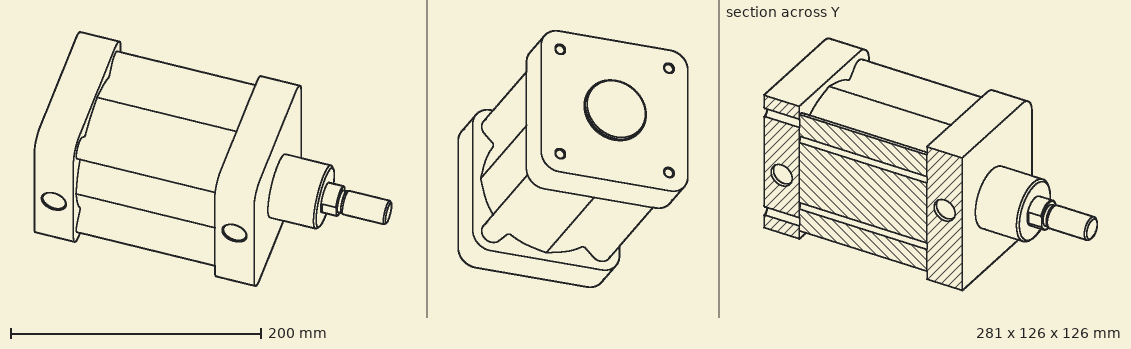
import cadquery as cq
import math

TOTAL_LENGTH = 281.0

CAP_SIDE = 126.0
CAP_THICKNESS = 33.0
CAP_CORNER_RADIUS = 15.2
BARREL_LENGTH = 118.5

BOSS_RADIUS = 26.0
REAR_BOSS_HEIGHT = 3.7
REAR_BOSS_CHAMFER = 1.0
FRONT_BOSS_HEIGHT = 40.0
FRONT_BOSS_CHAMFER = 1.7

PORT_RADIUS = 9.5
PORT_DEPTH = 19.7
PORT_OFFSET = 8.0
PORT_CHAMFER = 0.8

TUBE_OFFSET = 46.6
TIE_HOLE_RADIUS = 3.7
TIE_HOLE_CHAMFER = 0.8

TUBE_RADIUS = 8.7
BARREL_RADIUS = 54.8
RIDGE_HALF_WIDTH = 12.5
WEB_FILLET = 2.8

ROD_RADIUS = 12.5
COLLAR_LENGTH = 1.0
FLAT_LENGTH = 11.8
FLAT_DISTANCE = 11.2
SHOULDER_CHAMFER = 0.5
NECK_RADIUS = 9.0
NECK_LENGTH = 2.8
THREAD_RADIUS = 9.8
THREAD_START_CHAMFER = 1.7
THREAD_END_CHAMFER = 1.5

REAR_CAP_X = REAR_BOSS_HEIGHT
BARREL_X = REAR_CAP_X + CAP_THICKNESS
FRONT_CAP_X = BARREL_X + BARREL_LENGTH
FRONT_BOSS_X = FRONT_CAP_X + CAP_THICKNESS
ROD_X = FRONT_BOSS_X + FRONT_BOSS_HEIGHT


def cross_section(x):
    """Workplane across the axis at station x, local axes Y and Z."""
    return cq.Workplane("YZ", origin=(x, 0, 0))


def turned(points):
    """Solid of revolution about X from (x, radius) points."""
    return cq.Workplane("XY").polyline(points).close().revolve(360, (0, 0, 0), (1, 0, 0))


def boss(base_x, tip_x, chamfer):
    """Round boss on the axis, chamfered at its tip."""
    chamfer_x = tip_x - math.copysign(chamfer, tip_x - base_x)
    return turned([
        (base_x, 0),
        (base_x, BOSS_RADIUS),
        (chamfer_x, BOSS_RADIUS),
        (tip_x, BOSS_RADIUS - chamfer),
        (tip_x, 0),
    ])


def cap_block(x, port_z):
    """Rounded square block with a chamfered blind port in its -Y side."""
    block = cross_section(x).rect(CAP_SIDE, CAP_SIDE).extrude(CAP_THICKNESS)
    block = block.edges("|X").fillet(CAP_CORNER_RADIUS)
    mouth = cq.Workplane("XZ", origin=(x + CAP_THICKNESS / 2, -CAP_SIDE / 2, port_z))
    block = block.cut(mouth.circle(PORT_RADIUS).extrude(-PORT_DEPTH))
    return block.faces("<Y").edges("%CIRCLE").chamfer(PORT_CHAMFER)


def make_rear_cap():
    cap = cap_block(REAR_CAP_X, -PORT_OFFSET)
    corner_spacing = 2 * TUBE_OFFSET
    tie_holes = (
        cross_section(REAR_CAP_X)
        .rect(corner_spacing, corner_spacing, forConstruction=True)
        .vertices()
        .circle(TIE_HOLE_RADIUS)
        .extrude(CAP_THICKNESS)
    )
    cap = cap.cut(tie_holes)
    hole_rims = cap.faces("<X").edges(cq.selectors.RadiusNthSelector(0))
    cap = hole_rims.chamfer(TIE_HOLE_CHAMFER)
    return cap.union(boss(REAR_CAP_X, 0, REAR_BOSS_CHAMFER))


def make_front_cap():
    cap = cap_block(FRONT_CAP_X, PORT_OFFSET)
    return cap.union(boss(FRONT_BOSS_X, ROD_X, FRONT_BOSS_CHAMFER))


def make_barrel():
    """Solid barrel with a shallow ridge on each side and a webbed tube at each corner."""
    core = cross_section(BARREL_X).circle(BARREL_RADIUS).extrude(BARREL_LENGTH)

    tilt = math.asin(RIDGE_HALF_WIDTH / BARREL_RADIUS)
    tangent_distance = BARREL_RADIUS * math.cos(tilt)
    ridge_height = BARREL_RADIUS / math.cos(tilt)
    for side in range(4):
        ridge = (
            cross_section(BARREL_X)
            .polyline([
                (0, 0),
                (tangent_distance, -RIDGE_HALF_WIDTH),
                (ridge_height, 0),
                (tangent_distance, RIDGE_HALF_WIDTH),
            ])
            .close()
            .extrude(BARREL_LENGTH)
            .rotate((0, 0, 0), (1, 0, 0), 90 * side)
        )
        core = core.union(ridge)

    tube_distance = TUBE_OFFSET * math.sqrt(2)
    for corner in range(4):
        lobe = (
            cross_section(BARREL_X)
            .moveTo(0, -TUBE_RADIUS)
            .lineTo(tube_distance, -TUBE_RADIUS)
            .threePointArc((tube_distance + TUBE_RADIUS, 0), (tube_distance, TUBE_RADIUS))
            .lineTo(0, TUBE_RADIUS)
            .close()
            .extrude(BARREL_LENGTH)
            .rotate((0, 0, 0), (1, 0, 0), 45 + 90 * corner)
        )
        core = core.union(lobe)

    root_distance = math.sqrt(BARREL_RADIUS**2 - TUBE_RADIUS**2)
    middle_x = BARREL_X + BARREL_LENGTH / 2
    for corner in range(4):
        angle = math.radians(45 + 90 * corner)
        for side in (-TUBE_RADIUS, TUBE_RADIUS):
            root = (
                middle_x,
                root_distance * math.cos(angle) - side * math.sin(angle),
                root_distance * math.sin(angle) + side * math.cos(angle),
            )
            core = core.edges(cq.selectors.NearestToPointSelector(root)).fillet(WEB_FILLET)
    return core


def make_piston_rod():
    flat_x = ROD_X + COLLAR_LENGTH
    neck_x = flat_x + FLAT_LENGTH
    thread_x = neck_x + NECK_LENGTH
    rod = turned([
        (ROD_X, 0),
        (ROD_X, ROD_RADIUS),
        (neck_x - SHOULDER_CHAMFER, ROD_RADIUS),
        (neck_x, ROD_RADIUS - SHOULDER_CHAMFER),
        (neck_x, NECK_RADIUS),
        (thread_x, NECK_RADIUS),
        (thread_x + THREAD_START_CHAMFER, THREAD_RADIUS),
        (TOTAL_LENGTH - THREAD_END_CHAMFER, THREAD_RADIUS),
        (TOTAL_LENGTH, THREAD_RADIUS - THREAD_END_CHAMFER),
        (TOTAL_LENGTH, 0),
    ])
    for side in (-1, 1):
        waste = cq.Workplane("XY").box(FLAT_LENGTH, ROD_RADIUS, 2 * ROD_RADIUS).translate(
            (flat_x + FLAT_LENGTH / 2, side * (FLAT_DISTANCE + ROD_RADIUS / 2), 0)
        )
        rod = rod.cut(waste)
    return rod


rear_cap = make_rear_cap()
barrel = make_barrel()
front_cap = make_front_cap()
piston_rod = make_piston_rod()

result = cq.Compound.makeCompound([
    rear_cap.val(),
    barrel.val(),
    front_cap.val(),
    piston_rod.val(),
])